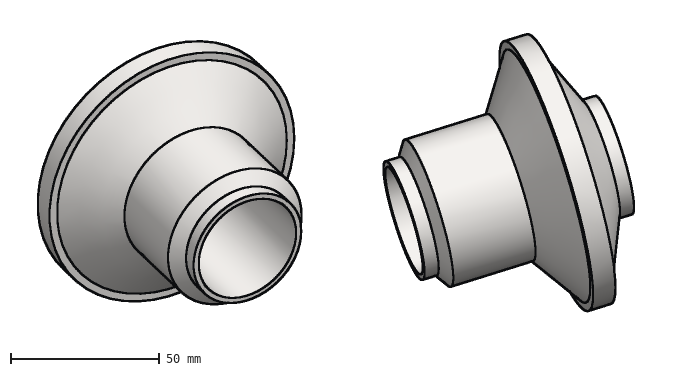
import cadquery as cq

flange_diameter = 95.5
cone_base_diameter = 89.6
hub_diameter = 52.1
spigot_diameter = 42.0
bore_diameter = 38.0

total_length = 75.0
spigot_length = 5.1
front_cone_length = 11.0
flange_thickness = 8.0
back_cone_length = 13.0
hub_taper_length = 3.4

front_cone_start = spigot_length
flange_front = front_cone_start + front_cone_length
flange_back = flange_front + flange_thickness
hub_start = flange_back + back_cone_length
back_spigot_start = total_length - spigot_length
hub_taper_start = back_spigot_start - hub_taper_length

flange_radius = flange_diameter / 2
cone_base_radius = cone_base_diameter / 2
hub_radius = hub_diameter / 2
spigot_radius = spigot_diameter / 2
bore_radius = bore_diameter / 2

half_section = [
    (0, bore_radius),
    (0, spigot_radius),
    (front_cone_start, spigot_radius),
    (flange_front, cone_base_radius),
    (flange_front, flange_radius),
    (flange_back, flange_radius),
    (flange_back, cone_base_radius),
    (hub_start, hub_radius),
    (hub_taper_start, hub_radius),
    (back_spigot_start, spigot_radius),
    (total_length, spigot_radius),
    (total_length, bore_radius),
]

result = (
    cq.Workplane("XY")
    .polyline(half_section)
    .close()
    .revolve(360, (0, 0, 0), (1, 0, 0))
)